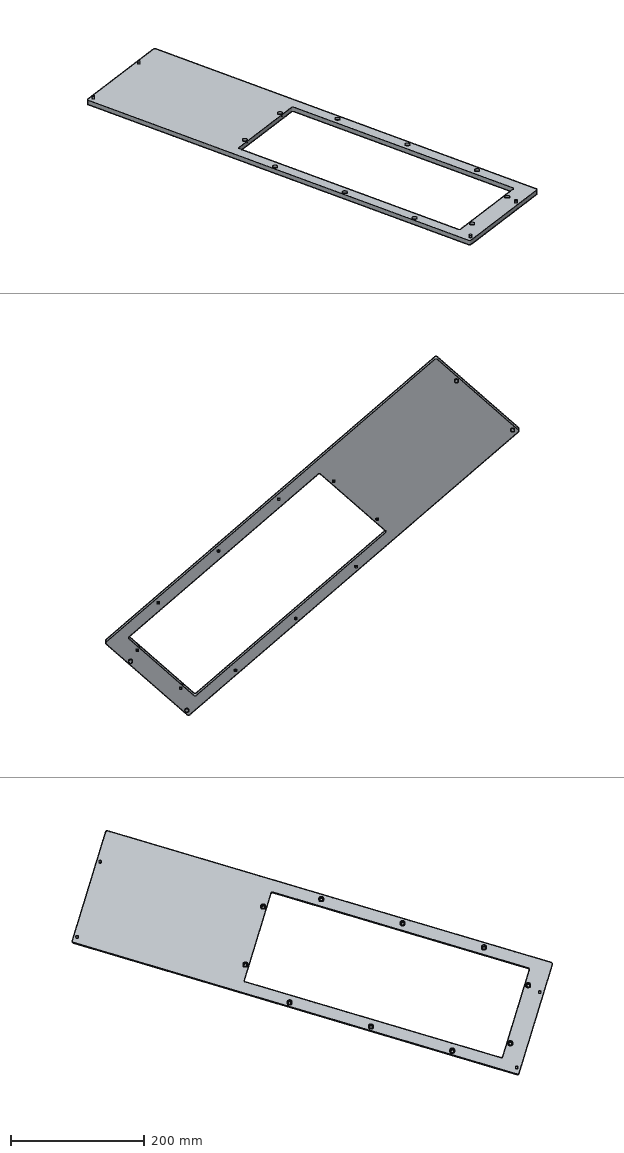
import cadquery as cq

TOTAL_HEIGHT = 14.0

PLATE_LENGTH = 700.0
PLATE_WIDTH = 178.0
PLATE_CORNER_RADIUS = 3.0

WINDOW_LENGTH = 404.5
WINDOW_WIDTH = 143.0
WINDOW_END_MARGIN = 31.0
WINDOW_CENTER_Y = -0.5
WINDOW_CENTER_X = PLATE_LENGTH / 2 - WINDOW_END_MARGIN - WINDOW_LENGTH / 2
WINDOW_CORNER_RADIUS = 2.0

SCREW_HOLE_DIAMETER = 4.0
COUNTERBORE_DIAMETER = 8.0
COUNTERBORE_DEPTH = 4.0
LONG_SIDE_HOLE_PITCH = 127.5
LONG_SIDE_ROW_SPACING = 164.5
SHORT_SIDE_HOLE_PITCH = 92.5
SHORT_SIDE_ROW_SPACING = 415.0

PIN_SHANK_DIAMETER = 4.0
PIN_HEAD_DIAMETER = 6.0
PIN_HEAD_THICKNESS = 2.0
PIN_PROTRUSION = 4.0
PIN_EDGE_DISTANCE = 5.5
PIN_FRONT_Y = -80.0
PIN_BACK_Y = 40.0

PLATE_THICKNESS = TOTAL_HEIGHT - PIN_HEAD_THICKNESS - PIN_PROTRUSION

pin_x = PLATE_LENGTH / 2 - PIN_EDGE_DISTANCE
pin_points = [(x, y) for x in (-pin_x, pin_x) for y in (PIN_FRONT_Y, PIN_BACK_Y)]


def screw_hole_points():
    """Three holes along each long side of the window and two along each short side."""
    long_side = [
        (WINDOW_CENTER_X + step * LONG_SIDE_HOLE_PITCH, WINDOW_CENTER_Y + side * LONG_SIDE_ROW_SPACING / 2)
        for step in (-1, 0, 1)
        for side in (-1, 1)
    ]
    short_side = [
        (WINDOW_CENTER_X + end * SHORT_SIDE_ROW_SPACING / 2, WINDOW_CENTER_Y + side * SHORT_SIDE_HOLE_PITCH / 2)
        for end in (-1, 1)
        for side in (-1, 1)
    ]
    return long_side + short_side


def make_plate():
    """Rounded plate with its window, counterbored screw holes and pin holes."""
    blank = (
        cq.Workplane("XY")
        .rect(PLATE_LENGTH, PLATE_WIDTH)
        .extrude(PLATE_THICKNESS)
        .edges("|Z")
        .fillet(PLATE_CORNER_RADIUS)
    )
    window = (
        cq.Workplane("XY")
        .center(WINDOW_CENTER_X, WINDOW_CENTER_Y)
        .rect(WINDOW_LENGTH, WINDOW_WIDTH)
        .extrude(PLATE_THICKNESS)
        .edges("|Z")
        .fillet(WINDOW_CORNER_RADIUS)
    )
    top_plane = cq.Workplane("XY", origin=(0, 0, PLATE_THICKNESS))
    pin_holes = top_plane.pushPoints(pin_points).circle(PIN_SHANK_DIAMETER / 2).extrude(-PLATE_THICKNESS)
    return (
        blank.cut(window)
        .cut(pin_holes)
        .faces(">Z")
        .workplane(origin=(0, 0, 0))
        .pushPoints(screw_hole_points())
        .cboreHole(SCREW_HOLE_DIAMETER, COUNTERBORE_DIAMETER, COUNTERBORE_DEPTH)
    )


def make_pin(x, y):
    """Round pin with a flat head against the underside of the plate."""
    head = (
        cq.Workplane("XY", origin=(x, y, -PIN_HEAD_THICKNESS))
        .circle(PIN_HEAD_DIAMETER / 2)
        .extrude(PIN_HEAD_THICKNESS)
    )
    return head.faces(">Z").workplane().circle(PIN_SHANK_DIAMETER / 2).extrude(TOTAL_HEIGHT - PIN_HEAD_THICKNESS)


plate = make_plate()
pins = [make_pin(x, y) for x, y in pin_points]

result = cq.Compound.makeCompound([plate.val(), *[pin.val() for pin in pins]])